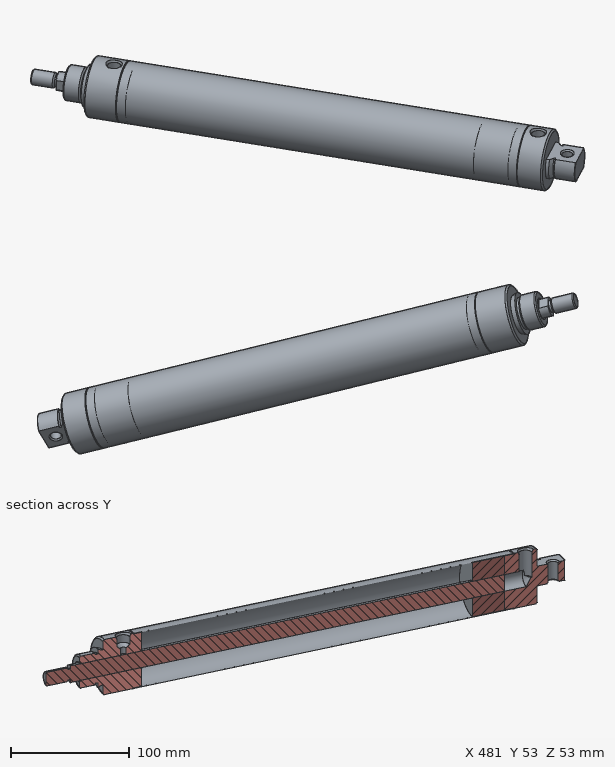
import cadquery as cq

LENGTH = 481.0

BODY_RADIUS = 26.5
BORE_RADIUS = 25.5
TUBE_START = 81.5
TUBE_END = 433.0
COVER_START = 52.5
COVER_END = 455.5
COVER_CHAMFER = 1.5
JOINT_CHAMFER = 0.7
SPIGOT_LENGTH = 7.5

THREAD_RADIUS = 6.5
THREAD_END = 19.2
THREAD_CHAMFER = 1.0
RELIEF_RADIUS = 5.5
RELIEF_END = 22.5
ROD_RADIUS = 8.0
ROD_FLAT_WIDTH = 13.5

PISTON_LENGTH = 30.5

NECK_START = 31.0
NECK_RADIUS = 15.5
NECK_CHAMFER = 1.2
ROD_BORE_COUNTERSINK = 1.2
NECK_END = 44.5
NECK_GROOVE_RADIUS = 14.0
COLLAR_START = 48.0
COLLAR_RIM_RADIUS = 18.5
COLLAR_RADIUS = 17.0

EYE_COLLAR_END = 458.5
EYE_GROOVE_END = 462.8
EYE_GROOVE_RADIUS = 14.0
EYE_COLLAR_RADIUS = 17.0
EYE_RADIUS = 15.5
EYE_THICKNESS = 19.2
EYE_CHAMFER = 0.5
EYE_HOLE_X = 470.0
EYE_HOLE_RADIUS = 4.55
EYE_HOLE_CHAMFER = 1.2

PORT_RADIUS = 6.0
PORT_MOUTH_RADIUS = 6.97
PORT_MOUTH_DEPTH = 2.5
FRONT_PORT_X = 71.5
FRONT_PORT_FLOOR = 17.0
FRONT_PORT_CONE_DEPTH = 3.0
FRONT_PASSAGE_RADIUS = 2.5
REAR_PORT_X = 444.5
REAR_CAVITY_RADIUS = 7.5
REAR_CAVITY_END = 445.0
REAR_CAVITY_CONE_DEPTH = 4.5

front_spigot_end = TUBE_START + SPIGOT_LENGTH
rear_spigot_start = TUBE_END - SPIGOT_LENGTH
piston_start = rear_spigot_start - PISTON_LENGTH


def turned(profile):
    """Solid of revolution about the X axis from (x, radius) points, closed along the axis."""
    first_x = profile[0][0]
    last_x, last_radius = profile[-1]
    outline = [(first_x, 0), *profile]
    if last_radius > 0:
        outline.append((last_x, 0))
    return cq.Workplane("XY").polyline(outline).close().revolve(360, (0, 0, 0), (1, 0, 0))


def cylinder_x(start, end, radius):
    return turned([(start, radius), (end, radius)])


def cylinder_z(x, bottom, top, radius):
    return cq.Workplane("XY", origin=(x, 0, bottom)).circle(radius).extrude(top - bottom)


def cone_z(x, bottom, bottom_radius, top, top_radius):
    return (
        cq.Workplane("XY", origin=(x, 0, bottom))
        .circle(bottom_radius)
        .workplane(offset=top - bottom)
        .circle(top_radius)
        .loft()
    )


def slab(start, end, width_y, width_z):
    return cq.Workplane("XY").box(end - start, width_y, width_z).translate(((start + end) / 2, 0, 0))


def make_tube():
    bore = cylinder_x(TUBE_START, TUBE_END, BORE_RADIUS)
    return cylinder_x(TUBE_START, TUBE_END, BODY_RADIUS).cut(bore)


def make_rod():
    rod = turned([
        (0, THREAD_RADIUS - THREAD_CHAMFER),
        (THREAD_CHAMFER, THREAD_RADIUS),
        (THREAD_END, THREAD_RADIUS),
        (THREAD_END + THREAD_RADIUS - RELIEF_RADIUS, RELIEF_RADIUS),
        (RELIEF_END, RELIEF_RADIUS),
        (RELIEF_END, ROD_RADIUS),
        (rear_spigot_start, ROD_RADIUS),
    ])
    flats_stock = slab(RELIEF_END, NECK_START, 2 * ROD_RADIUS, 2 * ROD_RADIUS)
    flats_core = slab(RELIEF_END, NECK_START, ROD_FLAT_WIDTH, 2 * ROD_RADIUS)
    return rod.cut(flats_stock.cut(flats_core))


def make_piston():
    piston = cylinder_x(piston_start, rear_spigot_start, BORE_RADIUS)
    return piston.cut(cylinder_x(piston_start, rear_spigot_start, ROD_RADIUS))


def port_bore(x, floor):
    """Bore from the top of the body down to the floor height, with a countersunk mouth."""
    mouth_start = BODY_RADIUS - PORT_MOUTH_DEPTH
    bore = cylinder_z(x, floor, BODY_RADIUS, PORT_RADIUS)
    return bore.union(cone_z(x, mouth_start, PORT_RADIUS, BODY_RADIUS, PORT_MOUTH_RADIUS))


def front_port():
    """Port with a conical floor that narrows to a passage reaching the rod bore."""
    cone_bottom = FRONT_PORT_FLOOR - FRONT_PORT_CONE_DEPTH
    cone = cone_z(FRONT_PORT_X, cone_bottom, FRONT_PASSAGE_RADIUS, FRONT_PORT_FLOOR, PORT_RADIUS)
    passage = cylinder_z(FRONT_PORT_X, 0, FRONT_PORT_FLOOR, FRONT_PASSAGE_RADIUS)
    return port_bore(FRONT_PORT_X, FRONT_PORT_FLOOR).union(cone).union(passage)


def make_front_cover():
    cover = turned([
        (NECK_START, NECK_RADIUS - NECK_CHAMFER),
        (NECK_START + NECK_CHAMFER, NECK_RADIUS),
        (NECK_END, NECK_RADIUS),
        (NECK_END + NECK_RADIUS - NECK_GROOVE_RADIUS, NECK_GROOVE_RADIUS),
        (COLLAR_START, NECK_GROOVE_RADIUS),
        (COLLAR_START, COLLAR_RIM_RADIUS),
        (COVER_START, COLLAR_RADIUS),
        (COVER_START, BODY_RADIUS - COVER_CHAMFER),
        (COVER_START + COVER_CHAMFER, BODY_RADIUS),
        (TUBE_START - JOINT_CHAMFER, BODY_RADIUS),
        (TUBE_START, BODY_RADIUS - JOINT_CHAMFER),
        (TUBE_START, BORE_RADIUS),
        (front_spigot_end, BORE_RADIUS),
    ])
    rod_bore = turned([
        (NECK_START, ROD_RADIUS + ROD_BORE_COUNTERSINK),
        (NECK_START + ROD_BORE_COUNTERSINK, ROD_RADIUS),
        (front_spigot_end, ROD_RADIUS),
    ])
    return cover.cut(rod_bore).cut(front_port())


def make_eye():
    """Grooved round boss, flattened to a tongue with a cross hole along Z."""
    boss = turned([
        (COVER_END, EYE_COLLAR_RADIUS),
        (EYE_COLLAR_END, EYE_COLLAR_RADIUS),
        (EYE_COLLAR_END + EYE_COLLAR_RADIUS - EYE_GROOVE_RADIUS, EYE_GROOVE_RADIUS),
        (EYE_GROOVE_END, EYE_GROOVE_RADIUS),
        (EYE_GROOVE_END, EYE_RADIUS),
        (LENGTH - EYE_CHAMFER, EYE_RADIUS),
        (LENGTH, EYE_RADIUS - EYE_CHAMFER),
    ])
    tongue = boss.intersect(slab(COVER_END, LENGTH, 2 * EYE_COLLAR_RADIUS, EYE_THICKNESS))
    face = EYE_THICKNESS / 2
    mouth_start = face - EYE_HOLE_CHAMFER
    mouth_radius = EYE_HOLE_RADIUS + EYE_HOLE_CHAMFER
    hole = cylinder_z(EYE_HOLE_X, -face, face, EYE_HOLE_RADIUS)
    top_mouth = cone_z(EYE_HOLE_X, mouth_start, EYE_HOLE_RADIUS, face, mouth_radius)
    bottom_mouth = top_mouth.mirror("XY")
    return tongue.cut(hole).cut(top_mouth).cut(bottom_mouth)


def make_rear_cover():
    cover = turned([
        (rear_spigot_start, BORE_RADIUS),
        (TUBE_END, BORE_RADIUS),
        (TUBE_END, BODY_RADIUS - JOINT_CHAMFER),
        (TUBE_END + JOINT_CHAMFER, BODY_RADIUS),
        (COVER_END - COVER_CHAMFER, BODY_RADIUS),
        (COVER_END, BODY_RADIUS - COVER_CHAMFER),
    ])
    cavity = turned([
        (rear_spigot_start, REAR_CAVITY_RADIUS),
        (REAR_CAVITY_END, REAR_CAVITY_RADIUS),
        (REAR_CAVITY_END + REAR_CAVITY_CONE_DEPTH, 0),
    ])
    return cover.union(make_eye()).cut(cavity).cut(port_bore(REAR_PORT_X, 0))


tube = make_tube()
rod = make_rod()
piston = make_piston()
front_cover = make_front_cover()
rear_cover = make_rear_cover()

result = cq.Compound.makeCompound([
    tube.val(),
    rod.val(),
    piston.val(),
    front_cover.val(),
    rear_cover.val(),
])